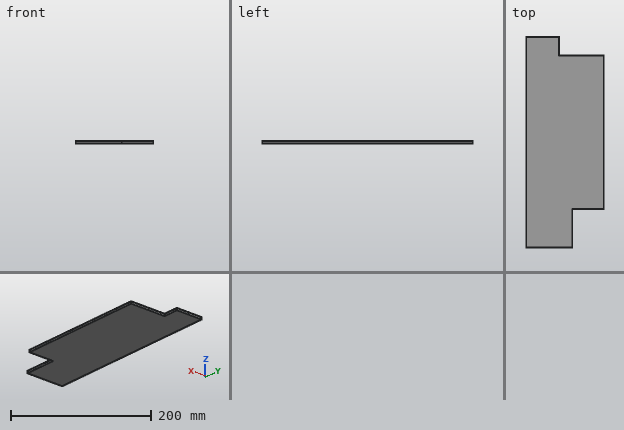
import cadquery as cq

length = 300.0
width = 110.7
thickness = 4.0

front_tab_width = 66.0
front_notch_length = 55.0
rear_tab_width = 47.0
rear_notch_length = 26.5

outline = [
    (0, 0),
    (front_tab_width, 0),
    (front_tab_width, front_notch_length),
    (width, front_notch_length),
    (width, length - rear_notch_length),
    (rear_tab_width, length - rear_notch_length),
    (rear_tab_width, length),
    (0, length),
]

result = cq.Workplane("XY").polyline(outline).close().extrude(thickness)